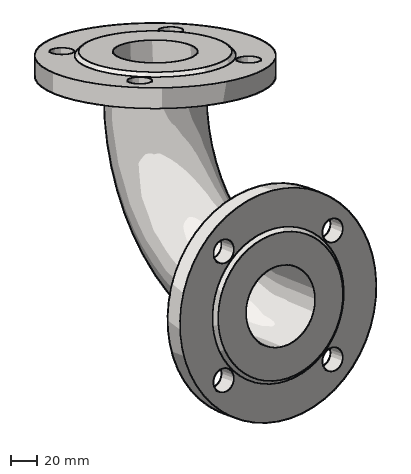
import cadquery as cq

overall_size = 257.5
flange_diameter = 185.0
flange_thickness = 16.5
bore_diameter = 65.0
pipe_diameter = 79.0

face_base_diameter = 123.5
face_top_diameter = 117.5
face_height = 3.0

neck_diameter = 91.0
cone_length = 12.4
collar_length = 3.3

bolt_hole_diameter = 19.0
bolt_hole_count = 4
bolt_circle_diameter = 145.0
bolt_start_angle = 45.0

centre_to_face = overall_size - flange_diameter / 2
flange_length = face_height + flange_thickness + cone_length + collar_length
bend_radius = centre_to_face - flange_length


def make_flange():
    """Weld-neck flange along Z, sealing face up, pipe end at Z = 0."""
    cone_start = collar_length
    flange_back = cone_start + cone_length
    flange_front = flange_back + flange_thickness
    profile = [
        (bore_diameter / 2, 0),
        (pipe_diameter / 2, 0),
        (pipe_diameter / 2, cone_start),
        (neck_diameter / 2, flange_back),
        (flange_diameter / 2, flange_back),
        (flange_diameter / 2, flange_front),
        (face_base_diameter / 2, flange_front),
        (face_top_diameter / 2, flange_length),
        (bore_diameter / 2, flange_length),
    ]
    body = cq.Workplane("XZ").polyline(profile).close().revolve(360, (0, 0, 0), (0, 1, 0))
    bolt_holes = (
        cq.Workplane("XY")
        .polarArray(bolt_circle_diameter / 2, bolt_start_angle, 360, bolt_hole_count)
        .circle(bolt_hole_diameter / 2)
        .extrude(flange_length)
    )
    return body.cut(bolt_holes)


def make_elbow():
    """Quarter-circle pipe from the origin, curving from -Z towards +X."""
    return (
        cq.Workplane("XY")
        .circle(pipe_diameter / 2)
        .circle(bore_diameter / 2)
        .revolve(90, (bend_radius, 0, 0), (bend_radius, -1, 0))
    )


top_flange = make_flange()
side_flange = (
    make_flange()
    .rotate((0, 0, 0), (0, 1, 0), 90)
    .translate((bend_radius, 0, -bend_radius))
)

result = make_elbow().union(top_flange).union(side_flange)